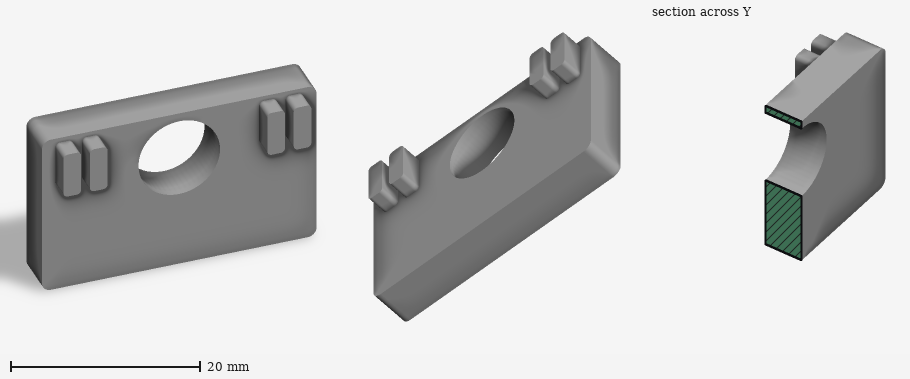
import cadquery as cq

plate_thickness = 4.7
plate_width = 31.0
plate_height = 19.0
plate_corner_radius = 1.02

window_diameter = 9.2
window_top_margin = 1.0

total_depth = 7.2
peg_length = total_depth - plate_thickness
peg_width = 1.98
peg_height = 5.3
peg_edge_radius = 0.5
peg_top_margin = 0.6
peg_end_margin = 1.52
peg_gap = 1.0


def make_plate():
    """Block from X = 0 to the plate thickness, rounded at its four corners."""
    block = cq.Workplane("YZ").rect(plate_width, plate_height).extrude(plate_thickness)
    return block.edges("|X").fillet(plate_corner_radius)


def make_window():
    """Cylinder that cuts the window through the full plate thickness."""
    center_z = plate_height / 2 - window_top_margin - window_diameter / 2
    return cq.Workplane("YZ").center(0, center_z).circle(window_diameter / 2).extrude(plate_thickness)


def make_pegs():
    """Four upright rounded pegs standing on the +X face, mirrored about Y = 0."""
    outer_y = plate_width / 2 - peg_end_margin - peg_width / 2
    inner_y = outer_y - peg_width - peg_gap
    center_z = plate_height / 2 - peg_top_margin - peg_height / 2
    centers = [(side * y, center_z) for side in (-1, 1) for y in (outer_y, inner_y)]
    face = cq.Workplane("YZ", origin=(plate_thickness, 0, 0))
    pegs = face.pushPoints(centers).rect(peg_width, peg_height).extrude(peg_length)
    return pegs.edges("|X").fillet(peg_edge_radius)


result = make_plate().cut(make_window()).union(make_pegs())